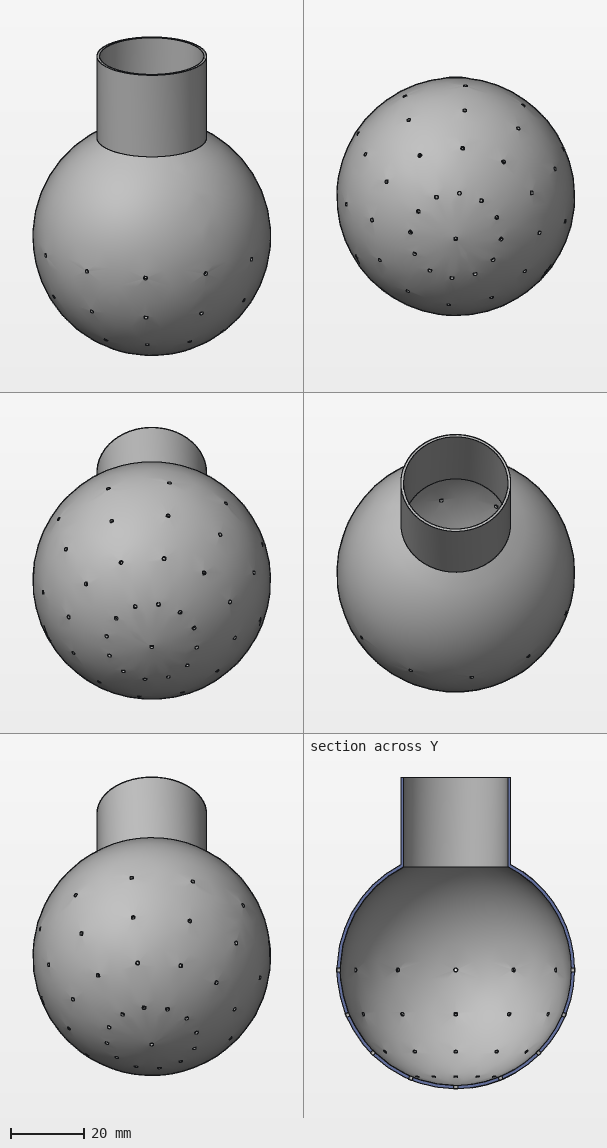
import cadquery as cq
import math

ball_diameter = 65.0
ball_wall = 1.0
neck_outer_diameter = 30.0
neck_inner_diameter = 28.5
neck_top_z = 52.59

hole_diameter = 1.0
pole_angle = 90
holes_per_ring = 12
ring_count = 4
ring_step_angle = pole_angle / ring_count

ball_radius = ball_diameter / 2
cavity_radius = ball_radius - ball_wall
drill_overrun = 1.0
drill_start_radius = cavity_radius - drill_overrun
drill_length = ball_wall + 2 * drill_overrun


def ball_with_neck(sphere_radius, neck_diameter):
    """Solid ball with a cylinder rising from its centre to the neck rim."""
    ball = cq.Workplane("XY").sphere(sphere_radius)
    neck = cq.Workplane("XY").circle(neck_diameter / 2).extrude(neck_top_z)
    return ball.union(neck)


def spray_drill(azimuth, depression):
    """Radial drill through the wall, at an angle below the equator (degrees)."""
    azimuth = math.radians(azimuth)
    depression = math.radians(depression)
    direction = cq.Vector(
        math.cos(depression) * math.cos(azimuth),
        math.cos(depression) * math.sin(azimuth),
        -math.sin(depression),
    )
    start = direction * drill_start_radius
    return cq.Solid.makeCylinder(hole_diameter / 2, drill_length, start, direction)


def all_spray_drills():
    """Drills of every ring and the single drill at the bottom pole."""
    drills = [spray_drill(0, pole_angle)]
    for ring in range(ring_count):
        for position in range(holes_per_ring):
            azimuth = position * 360 / holes_per_ring
            drills.append(spray_drill(azimuth, ring * ring_step_angle))
    return cq.Compound.makeCompound(drills)


outer_body = ball_with_neck(ball_radius, neck_outer_diameter)
inner_cavity = ball_with_neck(cavity_radius, neck_inner_diameter)
shell = outer_body.cut(inner_cavity)

result = shell.cut(cq.Workplane(obj=all_spray_drills()))